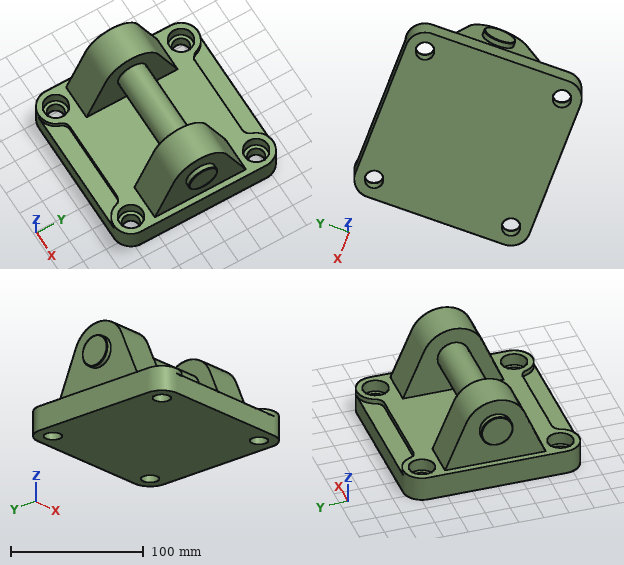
import cadquery as cq
import math

plate_side = 140.0
plate_height = 20.0
corner_radius = 15.0
hole_offset = plate_side / 2 - corner_radius

step_depth = 4.0
step_fillet = 7.0

hole_diameter = 14.0
counterbore_diameter = 20.0
counterbore_depth = 10.0

lug_thickness = 30.0
lug_edge_gap = 5.0
lug_base_width = 80.0
lug_top_radius = 25.0
total_height = 75.0
axis_height = total_height - lug_top_radius

pin_diameter = 25.0
pin_length = 138.9
pin_chamfer = 0.5


def make_lower_plate():
    height = plate_height - step_depth
    plate = cq.Workplane("XY").box(plate_side, plate_side, height, centered=(True, True, False))
    return plate.edges("|Z").fillet(corner_radius)


def make_raised_pad():
    """Top layer of the plate, with a round boss at each corner and narrowed between the bosses."""
    centre_distance = corner_radius + step_fillet
    fillet_run = math.sqrt(centre_distance**2 - step_fillet**2)
    fillet_x = hole_offset - fillet_run
    fillet_y = hole_offset + step_fillet
    boss_angle = math.atan2(step_fillet, fillet_run)
    mid_angle = (boss_angle + math.pi / 2) / 2

    def on_boss(angle):
        return (hole_offset + corner_radius * math.cos(angle), hole_offset + corner_radius * math.sin(angle))

    corner_mid = on_boss(math.pi / 4)
    boss_top = on_boss(math.pi / 2)
    boss_mid = on_boss(math.pi - mid_angle)
    boss_end = on_boss(math.pi - boss_angle)
    fillet_mid = (
        fillet_x + step_fillet * math.cos(mid_angle),
        fillet_y - step_fillet * math.sin(mid_angle),
    )

    def half_outline(outline, side):
        """Half of the outline, from the right edge to the left (side 1) or back again (side -1)."""

        def place(point, mirror=1):
            return (mirror * side * point[0], side * point[1])

        return (
            outline.lineTo(*place(on_boss(0)))
            .threePointArc(place(corner_mid), place(boss_top))
            .threePointArc(place(boss_mid), place(boss_end))
            .threePointArc(place(fillet_mid), place((fillet_x, hole_offset)))
            .lineTo(*place((fillet_x, hole_offset), -1))
            .threePointArc(place(fillet_mid, -1), place(boss_end, -1))
            .threePointArc(place(boss_mid, -1), place(boss_top, -1))
            .threePointArc(place(corner_mid, -1), place(on_boss(0), -1))
        )

    outline = cq.Workplane("XY", origin=(0, 0, plate_height - step_depth)).moveTo(plate_side / 2, 0)
    outline = half_outline(outline, 1)
    outline = half_outline(outline, -1)
    return outline.close().extrude(step_depth)


def drill_corners(plate):
    return (
        plate.faces(">Z")
        .workplane(origin=(0, 0, plate_height))
        .rect(2 * hole_offset, 2 * hole_offset, forConstruction=True)
        .vertices()
        .cboreHole(hole_diameter, counterbore_diameter, counterbore_depth)
    )


def make_lug(start_x):
    """Lug with straight flanks tangent to its round top."""
    half_width = lug_base_width / 2
    axis_rise = axis_height - plate_height
    corner_distance = math.hypot(half_width, axis_rise)
    tangent_angle = math.acos(lug_top_radius / corner_distance) - math.atan2(axis_rise, half_width)
    tangent_y = lug_top_radius * math.cos(tangent_angle)
    tangent_z = axis_height + lug_top_radius * math.sin(tangent_angle)
    return (
        cq.Workplane("YZ", origin=(start_x, 0, 0))
        .moveTo(-half_width, plate_height)
        .lineTo(half_width, plate_height)
        .lineTo(tangent_y, tangent_z)
        .threePointArc((0, total_height), (-tangent_y, tangent_z))
        .close()
        .extrude(lug_thickness)
    )


def make_pin():
    return (
        cq.Workplane("YZ", origin=(-pin_length / 2, 0, axis_height))
        .circle(pin_diameter / 2)
        .extrude(pin_length)
        .faces("<X or >X")
        .chamfer(pin_chamfer)
    )


plate = drill_corners(make_lower_plate().union(make_raised_pad()))

left_lug_x = -plate_side / 2 + lug_edge_gap
right_lug_x = -left_lug_x - lug_thickness

result = plate.union(make_lug(left_lug_x)).union(make_lug(right_lug_x)).union(make_pin())